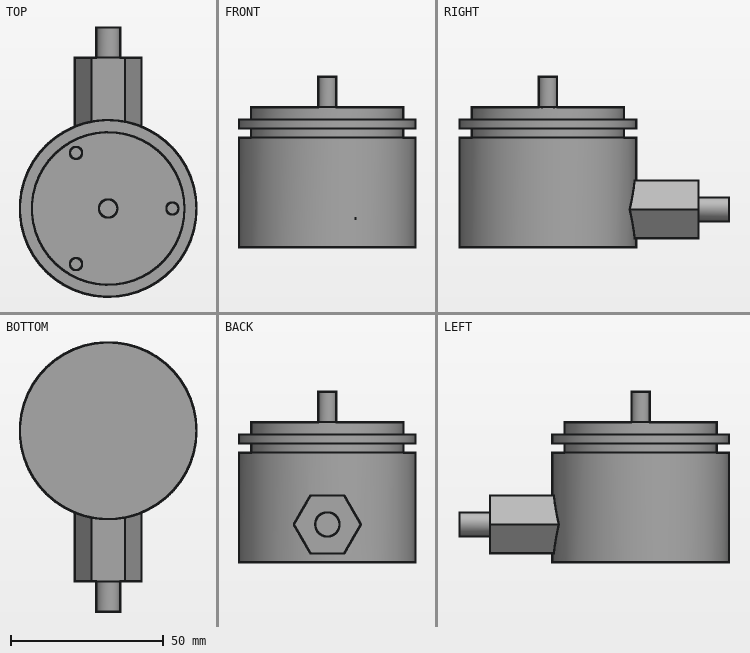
import cadquery as cq

body_diameter = 58.0
neck_diameter = 50.0
body_height = 36.0
groove_width = 3.0
flange_thickness = 3.0
spigot_height = 4.0

shaft_diameter = 6.0
overall_height = 56.0

hole_count = 3
hole_diameter = 4.0
hole_circle_radius = 21.0
hole_depth = 10.0

overall_length = 88.4
gland_across_corners = 22.0
gland_axis_height = 12.5
cable_diameter = 8.0
cable_length = 10.0

flange_bottom = body_height + groove_width
top_face = flange_bottom + flange_thickness + spigot_height
cable_end = overall_length - body_diameter / 2
gland_end = cable_end - cable_length


def disc(diameter, bottom, height):
    """Cylinder on the main axis."""
    return cq.Workplane("XY").workplane(offset=bottom).circle(diameter / 2).extrude(height)


def make_housing():
    """Body and flange joined by a narrower neck that ends in the top spigot."""
    body = disc(body_diameter, 0, body_height)
    neck = disc(neck_diameter, 0, top_face)
    flange = disc(body_diameter, flange_bottom, flange_thickness)
    shaft = disc(shaft_diameter, 0, overall_height)
    return body.union(neck).union(flange).union(shaft)


def make_cable_outlet():
    """Hexagonal gland and cable stub, both starting inside the body."""
    outlet_plane = cq.Workplane("XZ", origin=(0, 0, gland_axis_height))
    gland = outlet_plane.polygon(6, gland_across_corners).extrude(-gland_end)
    cable = outlet_plane.circle(cable_diameter / 2).extrude(-cable_end)
    return gland.union(cable)


def make_mounting_holes():
    """Blind hole tools, equally spaced from the +X direction."""
    return (
        cq.Workplane("XY")
        .workplane(offset=top_face)
        .polarArray(hole_circle_radius, 0, 360, hole_count)
        .circle(hole_diameter / 2)
        .extrude(-hole_depth)
    )


result = make_housing().union(make_cable_outlet()).cut(make_mounting_holes())